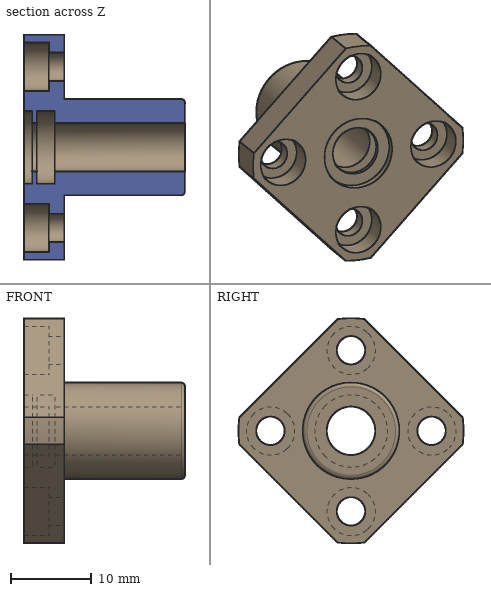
import cadquery as cq

total_length = 20.0
flange_diameter = 27.98
flange_thickness = 5.0
flange_square_side = 22.0

body_diameter = 12.0
body_end_radius = 0.5

bore_diameter = 6.0
seat_diameter = 9.0
seat_depth = 1.0
lip_thickness = 0.6
groove_diameter = seat_diameter
groove_width = 2.2

bolt_circle_diameter = 20.0
bolt_hole_diameter = 3.5
bolt_head_diameter = 6.0
bolt_head_depth = 3.1


def make_flange():
    """Square set on its corner, with the corners rounded off by a disc."""
    square = (
        cq.Workplane("YZ")
        .rect(flange_square_side, flange_square_side)
        .extrude(flange_thickness)
        .rotate((0, 0, 0), (1, 0, 0), 45)
    )
    disc = cq.Workplane("YZ").circle(flange_diameter / 2).extrude(flange_thickness)
    return square.intersect(disc)


def make_body():
    """Cylindrical sleeve with a rounded free end."""
    return (
        cq.Workplane("YZ")
        .circle(body_diameter / 2)
        .extrude(total_length)
        .faces(">X")
        .fillet(body_end_radius)
    )


def cut_bore(part):
    """Through bore with a shallow seat at the flange end and a wide groove behind its lip."""
    bore = cq.Workplane("YZ").circle(bore_diameter / 2).extrude(total_length)
    seat = cq.Workplane("YZ").circle(seat_diameter / 2).extrude(seat_depth)
    groove = (
        cq.Workplane("YZ", origin=(seat_depth + lip_thickness, 0, 0))
        .circle(groove_diameter / 2)
        .extrude(groove_width)
    )
    return part.cut(bore).cut(seat).cut(groove)


def cut_bolt_holes(part):
    """Four counterbored holes, one near each corner of the flange."""
    centers = cq.Workplane("YZ").polarArray(bolt_circle_diameter / 2, 0, 360, 4)
    holes = centers.circle(bolt_hole_diameter / 2).extrude(flange_thickness)
    centers = cq.Workplane("YZ").polarArray(bolt_circle_diameter / 2, 0, 360, 4)
    heads = centers.circle(bolt_head_diameter / 2).extrude(bolt_head_depth)
    return part.cut(holes).cut(heads)


result = cut_bolt_holes(cut_bore(make_flange().union(make_body())))